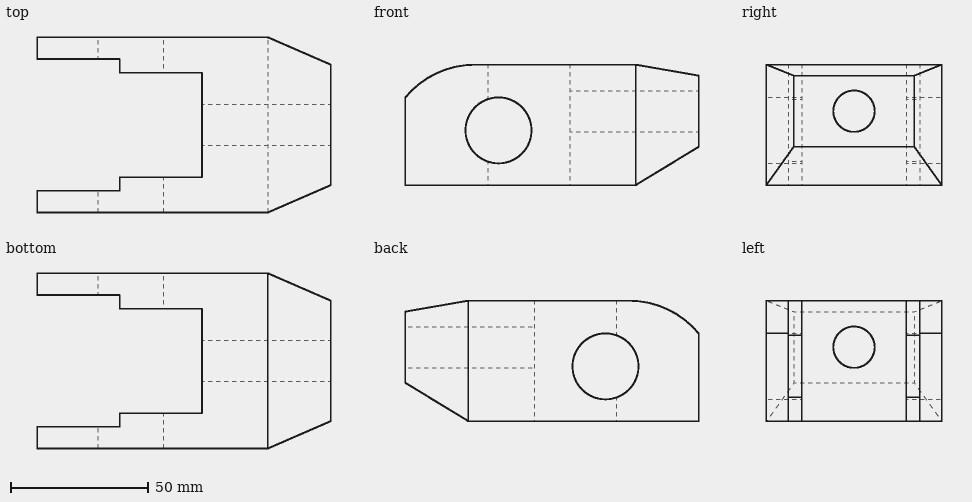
import cadquery as cq
import math

length = 107.0
width = 64.0
height = 44.0

nose_start = 84.0
nose_end_width = 44.0
nose_end_bottom = 14.0
nose_end_top = 40.0

ear_front_height = 32.0
ear_radius = 33.0

mouth_depth = 30.0
mouth_width = 48.0
pocket_depth = 60.0
pocket_width = 38.0

pin_diameter = 24.0
pin_x = 34.0
pin_z = 20.0

rod_diameter = 15.0
rod_z = 27.0


def make_side_prism():
    """Side outline in XZ, extruded over the full width."""
    arc_center_z = height - ear_radius
    front_angle = math.asin((ear_front_height - arc_center_z) / ear_radius)
    arc_end_x = ear_radius * math.cos(front_angle)
    mid_angle = (front_angle + math.pi / 2) / 2
    arc_mid = (
        arc_end_x - ear_radius * math.cos(mid_angle),
        arc_center_z + ear_radius * math.sin(mid_angle),
    )
    return (
        cq.Workplane("XZ")
        .moveTo(0, 0)
        .lineTo(nose_start, 0)
        .lineTo(length, nose_end_bottom)
        .lineTo(length, nose_end_top)
        .lineTo(nose_start, height)
        .lineTo(arc_end_x, height)
        .threePointArc(arc_mid, (0, ear_front_height))
        .close()
        .extrude(width / 2, both=True)
    )


def make_plan_prism():
    """Plan outline in XY with the tapered nose, extruded over the full height."""
    return (
        cq.Workplane("XY")
        .polyline([
            (0, -width / 2),
            (nose_start, -width / 2),
            (length, -nose_end_width / 2),
            (length, nose_end_width / 2),
            (nose_start, width / 2),
            (0, width / 2),
        ])
        .close()
        .extrude(height)
    )


def make_opening(depth, opening_width):
    """Full-height slot entering from the open end of the fork."""
    return cq.Workplane("XY").box(depth, opening_width, height, centered=(False, True, False))


def make_pin_hole():
    """Cylinder along Y across both ears."""
    return (
        cq.Workplane("XZ")
        .center(pin_x, pin_z)
        .circle(pin_diameter / 2)
        .extrude(width / 2, both=True)
    )


def make_rod_hole():
    """Cylinder along X through the fork base and nose."""
    return cq.Workplane("YZ").center(0, rod_z).circle(rod_diameter / 2).extrude(length)


result = (
    make_side_prism()
    .intersect(make_plan_prism())
    .cut(make_opening(mouth_depth, mouth_width))
    .cut(make_opening(pocket_depth, pocket_width))
    .cut(make_pin_hole())
    .cut(make_rod_hole())
)